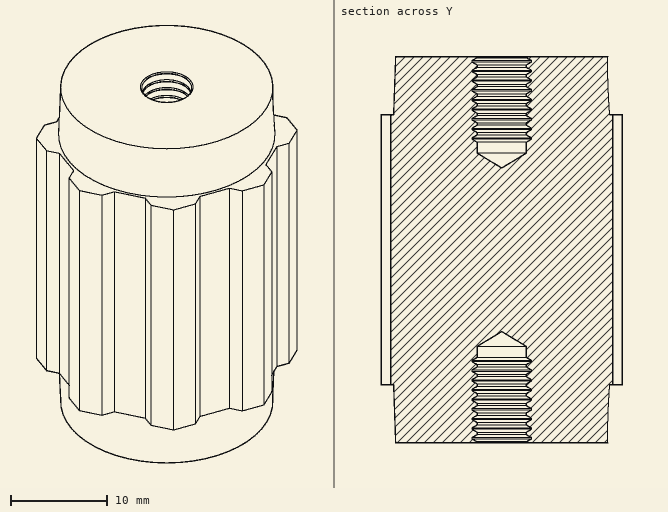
import cadquery as cq
import math

total_height = 40.0
across_flats = 25.0
collar_height = 6.0
collar_end_radius = 11.0
collar_draft_angle = 2.0
grip_height = total_height - 2 * collar_height
collar_base_radius = collar_end_radius + collar_height * math.tan(math.radians(collar_draft_angle))

flat_count = 8
groove_depth = 1.0
groove_mouth_width = 5.4
groove_floor_width = groove_mouth_width - 2 * groove_depth

hole_radius = 5.05 / 2
thread_radius = 6.15 / 2
thread_pitch = 1.0
thread_root_width = 0.1
thread_mouth_width = 0.75
first_thread_depth = 0.5
hole_depth = 10.0
thread_count = 9
drill_tip_angle = 118.0
drill_tip_depth = hole_radius / math.tan(math.radians(drill_tip_angle / 2))
entry_chamfer = 0.2


def revolve_about_z(profile):
    """Solid of revolution of a closed profile given as (radius, height) points."""
    return cq.Workplane("XZ").polyline(profile).close().revolve(360, (0, 0, 0), (0, 1, 0))


def make_grip():
    """Octagonal prism, centred on the origin, with a groove in every flat."""
    across_corners = across_flats / math.cos(math.pi / flat_count)
    half_step = 180 / flat_count
    grip = (
        cq.Workplane("XY")
        .polygon(flat_count, across_corners)
        .extrude(grip_height / 2, both=True)
        .rotate((0, 0, 0), (0, 0, 1), half_step)
    )
    flat_x = across_flats / 2
    groove = (
        cq.Workplane("XY")
        .polyline([
            (flat_x, -groove_mouth_width / 2),
            (flat_x, groove_mouth_width / 2),
            (flat_x - groove_depth, groove_floor_width / 2),
            (flat_x - groove_depth, -groove_floor_width / 2),
        ])
        .close()
        .extrude(grip_height / 2, both=True)
    )
    for index in range(flat_count):
        grip = grip.cut(groove.rotate((0, 0, 0), (0, 0, 1), index * 360 / flat_count))
    return grip


def make_core():
    """Round core through the grip whose two ends are the tapered collars."""
    grip_end = grip_height / 2
    end = total_height / 2
    profile = [
        (0, -end),
        (collar_end_radius, -end),
        (collar_base_radius, -grip_end),
        (collar_base_radius, grip_end),
        (collar_end_radius, end),
        (0, end),
    ]
    return revolve_about_z(profile)


def make_threaded_hole():
    """Solid to remove for the upper hole: chamfered entry, ring grooves and conical bottom."""
    top = total_height / 2
    profile = [
        (0, top),
        (hole_radius, top),
    ]
    for index in range(thread_count):
        middle = top - first_thread_depth - index * thread_pitch
        profile += [
            (hole_radius, middle + thread_mouth_width / 2),
            (thread_radius, middle + thread_root_width / 2),
            (thread_radius, middle - thread_root_width / 2),
            (hole_radius, middle - thread_mouth_width / 2),
        ]
    profile += [
        (hole_radius, top - hole_depth),
        (0, top - hole_depth - drill_tip_depth),
    ]
    entry = [
        (0, top),
        (hole_radius + entry_chamfer, top),
        (hole_radius, top - entry_chamfer),
        (0, top - entry_chamfer),
    ]
    return revolve_about_z(profile).union(revolve_about_z(entry))


upper_hole = make_threaded_hole()
lower_hole = upper_hole.mirror("XY")
body = make_grip().union(make_core()).cut(upper_hole).cut(lower_hole)

result = body.translate((0, 0, total_height / 2))